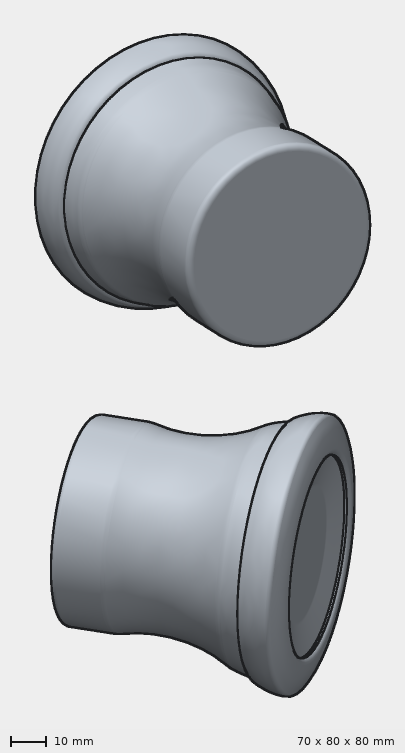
import cadquery as cq
import math

LENGTH = 70.0

RIM_RADIUS = 40.0
RIM_BORE_RADIUS = 28.75
CREST_RADIUS = 30.5
RIM_BACK = 13.2
CROWN_RADIUS = 16.5
CORNER_RADIUS = 1.5
LIP_RADIUS = 2.0

GRIP_RADIUS = 30.0
GRIP_START = 55.1
GRIP_EDGE_RADIUS = 1.9
GRIP_BLEND_RADIUS = 6.0
WAIST_POSITION = 42.6
WAIST_ARC_RADIUS = 45.0
WAIST_START = 20.2
FLARE_BLEND_RADIUS = 8.5
FLARE_END = 18.4
FLARE_ARC_RADIUS = 45.0

DISH_EDGE = 1.8
DISH_SLOPE = math.radians(14.5)
DISH_FLOOR_RADIUS = 19.3
DISH_BLEND_OUTER_RADIUS = 20.0

RADIAL = math.pi / 2
FORWARD = math.pi


def on_circle(center, radius, angle):
    """Point on a circle; the angle runs from +X towards larger radii."""
    return (center[0] + radius * math.cos(angle), center[1] + radius * math.sin(angle))


def angle_at(center, radius, position):
    """Angle of the upper point of a circle that lies at an axial position."""
    return math.acos((position - center[0]) / radius)


def arc(profile, center, radius, start_angle, end_angle):
    """Continue a profile along a circle from start_angle to end_angle."""
    middle = on_circle(center, radius, (start_angle + end_angle) / 2)
    return profile.threePointArc(middle, on_circle(center, radius, end_angle))


def revolve_about_x(profile):
    return profile.close().revolve(360, (0, 0, 0), (1, 0, 0))


def make_rim():
    """Ring with a crowned front, a crowned outer surface and rounded edges."""
    lip_center = (LIP_RADIUS, CREST_RADIUS)
    lip_angle = math.pi + math.asin((CREST_RADIUS - RIM_BORE_RADIUS) / LIP_RADIUS)
    front_center = (CROWN_RADIUS, CREST_RADIUS)
    corner_inset = CROWN_RADIUS - CORNER_RADIUS
    front_angle = math.pi - math.asin((RIM_RADIUS - CORNER_RADIUS - CREST_RADIUS) / corner_inset)
    corner_center = on_circle(front_center, corner_inset, front_angle)
    outer_center = (corner_center[0], RIM_RADIUS - CROWN_RADIUS)
    back_inset = CROWN_RADIUS - LIP_RADIUS
    back_angle = angle_at(outer_center, back_inset, RIM_BACK - LIP_RADIUS)
    back_center = on_circle(outer_center, back_inset, back_angle)

    profile = cq.Workplane("XY").moveTo(*on_circle(lip_center, LIP_RADIUS, lip_angle))
    profile = arc(profile, lip_center, LIP_RADIUS, lip_angle, FORWARD)
    profile = arc(profile, front_center, CROWN_RADIUS, FORWARD, front_angle)
    profile = arc(profile, corner_center, CORNER_RADIUS, front_angle, RADIAL)
    profile = arc(profile, outer_center, CROWN_RADIUS, RADIAL, back_angle)
    profile = arc(profile, back_center, LIP_RADIUS, back_angle, 0)
    profile = profile.lineTo(RIM_BACK, RIM_BORE_RADIUS)
    return revolve_about_x(profile)


def make_knob():
    """Waisted body with a dished front that fills the bore of the rim ring."""
    grip_blend_center = (GRIP_START, GRIP_RADIUS - GRIP_BLEND_RADIUS)
    blend_to_waist = WAIST_ARC_RADIUS + GRIP_BLEND_RADIUS
    grip_blend_angle = angle_at((GRIP_START, 0), blend_to_waist, WAIST_POSITION)
    waist_center = on_circle(grip_blend_center, blend_to_waist, grip_blend_angle)

    waist_start_angle = -angle_at(waist_center, WAIST_ARC_RADIUS, WAIST_START)
    flare_blend_center = on_circle(
        waist_center, WAIST_ARC_RADIUS + FLARE_BLEND_RADIUS, waist_start_angle
    )
    flare_angle = angle_at(flare_blend_center, FLARE_BLEND_RADIUS, FLARE_END)
    flare_center = on_circle(
        flare_blend_center, FLARE_BLEND_RADIUS - FLARE_ARC_RADIUS, flare_angle
    )
    shoulder_angle = angle_at(flare_center, FLARE_ARC_RADIUS, RIM_BACK)
    grip_edge_center = (LENGTH - GRIP_EDGE_RADIUS, GRIP_RADIUS - GRIP_EDGE_RADIUS)

    cone_depth = (RIM_BORE_RADIUS - DISH_BLEND_OUTER_RADIUS) * math.tan(DISH_SLOPE)
    blend_depth = (DISH_BLEND_OUTER_RADIUS - DISH_FLOOR_RADIUS) * math.tan(DISH_SLOPE / 2)
    cone_bottom = DISH_EDGE + cone_depth
    dish_floor = cone_bottom + blend_depth

    profile = (
        cq.Workplane("XY")
        .moveTo(dish_floor, 0)
        .lineTo(dish_floor, DISH_FLOOR_RADIUS)
        .tangentArcPoint((cone_bottom, DISH_BLEND_OUTER_RADIUS), relative=False)
        .lineTo(DISH_EDGE, RIM_BORE_RADIUS)
        .lineTo(RIM_BACK, RIM_BORE_RADIUS)
        .lineTo(*on_circle(flare_center, FLARE_ARC_RADIUS, shoulder_angle))
    )
    profile = arc(profile, flare_center, FLARE_ARC_RADIUS, shoulder_angle, flare_angle)
    profile = arc(
        profile, flare_blend_center, FLARE_BLEND_RADIUS, flare_angle, waist_start_angle + math.pi
    )
    profile = arc(
        profile, waist_center, WAIST_ARC_RADIUS, waist_start_angle, grip_blend_angle - math.pi
    )
    profile = arc(profile, grip_blend_center, GRIP_BLEND_RADIUS, grip_blend_angle, RADIAL)
    profile = profile.lineTo(grip_edge_center[0], GRIP_RADIUS)
    profile = arc(profile, grip_edge_center, GRIP_EDGE_RADIUS, RADIAL, 0)
    profile = profile.lineTo(LENGTH, 0)
    return revolve_about_x(profile)


rim = make_rim()
knob = make_knob()
result = cq.Compound.makeCompound([rim.val(), knob.val()])